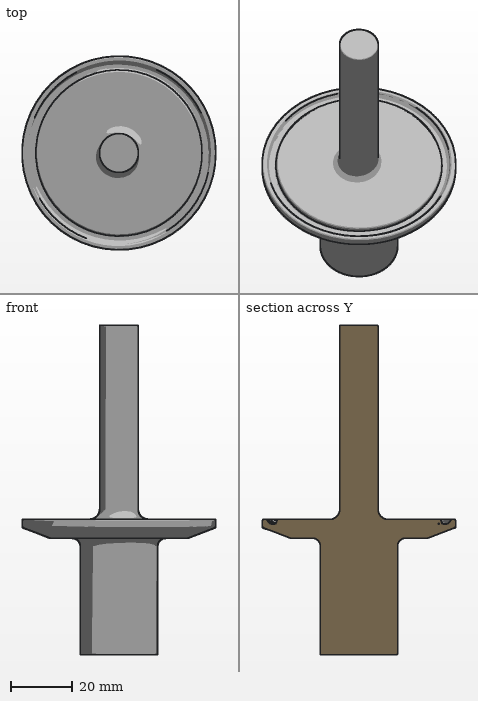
import cadquery as cq

total_height = 108.0
flange_radius = 31.7
flange_top = 44.5
flange_thickness = 6.4
rim_height = 2.8
flat_radius = 22.5

rod_radius = 6.4
stem_radius = 12.7
end_round = 0.4
rod_root_round = 3.1
stem_root_round = 2.5

rim_top_round = 0.6
rim_bottom_round = 0.9

groove_inner_radius = 26.9
groove_outer_radius = 30.0
groove_wall_slant = 0.3
groove_wall_depth = 1.3
groove_low_radius = 28.3
groove_depth = 1.6
groove_edge_round = 0.6

flange_bottom = flange_top - flange_thickness
rim_bottom = flange_top - rim_height


def edges_at(radius, height):
    """Select circular edges of a given radius and height around Z."""
    margin = 0.1
    reach = radius + margin
    inner = radius - margin
    outer_box = cq.selectors.BoxSelector(
        (-reach, -reach, height - margin), (reach, reach, height + margin), boundingbox=True
    )
    inner_box = cq.selectors.BoxSelector(
        (-inner, -inner, height - margin), (inner, inner, height + margin), boundingbox=True
    )
    return outer_box - inner_box


def make_body():
    """Revolve the stem, flange and rod as one sharp-edged profile."""
    profile = [
        (0, 0),
        (stem_radius, 0),
        (stem_radius, flange_bottom),
        (flat_radius, flange_bottom),
        (flange_radius, rim_bottom),
        (flange_radius, flange_top),
        (rod_radius, flange_top),
        (rod_radius, total_height),
        (0, total_height),
    ]
    return cq.Workplane("XZ").polyline(profile).close().revolve(360, (0, 0, 0), (0, 1, 0))


def make_groove():
    """Ring with a steep straight inner wall and a curved floor rising outward."""
    wall_foot = (groove_inner_radius + groove_wall_slant, flange_top - groove_wall_depth)
    section = (
        cq.Workplane("XZ")
        .moveTo(groove_inner_radius, flange_top)
        .lineTo(*wall_foot)
        .threePointArc(
            (groove_low_radius, flange_top - groove_depth),
            (groove_outer_radius, flange_top),
        )
        .close()
    )
    return section.revolve(360, (0, 0, 0), (0, 1, 0))


def round_edge(body, radius, height, size):
    return body.edges(edges_at(radius, height)).fillet(size)


body = make_body()
body = round_edge(body, stem_radius, 0, end_round)
body = round_edge(body, rod_radius, total_height, end_round)
body = round_edge(body, stem_radius, flange_bottom, stem_root_round)
body = round_edge(body, rod_radius, flange_top, rod_root_round)
body = round_edge(body, flange_radius, rim_bottom, rim_bottom_round)
body = round_edge(body, flange_radius, flange_top, rim_top_round)
body = body.cut(make_groove())

for lip_radius in (groove_inner_radius, groove_outer_radius):
    body = round_edge(body, lip_radius, flange_top, groove_edge_round)

result = body